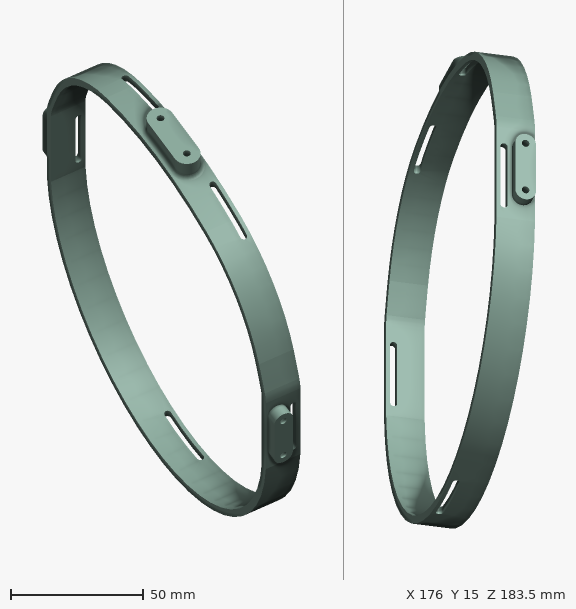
import cadquery as cq
import math

band_width = 15.0
wall = 3.1
bottom_radius = 83.3
flat_x = 83.2
crown_z = 176.4
crown_radius = 137.7
crown_angle = 0.28
shoulder_radius = 60.5
shoulder_angle = 1.21
flank_radius = 257.0
corner_radius = 16.5

pin_hole_diameter = 3.0
pin_hole_spacing = 20.0
overall_width = 176.0
overall_height = 183.5
side_boss_width = 8.0
side_boss_y = -2.5
side_boss_z = 98.2
top_boss_width = 10.5
top_boss_fillet = 1.7

slot_width = 2.8
slot_y = 4.5
side_slot_length = 27.5
side_slot_z = 96.0
top_slot_length = 25.9
top_slot_x = 33.4
bottom_slot_length = 27.5
cut_depth = 27.5


def polar(center, radius, angle):
    """Point on a circle, with the angle measured from +Z towards +X."""
    return (center[0] + radius * math.sin(angle), center[1] + radius * math.cos(angle))


def band_solid(inset):
    """Extruded outline of the band, moved inwards by the inset."""
    crown_center = (0, crown_z - crown_radius)
    shoulder_center = polar(crown_center, crown_radius - shoulder_radius, crown_angle)
    flank_center = polar(shoulder_center, shoulder_radius - flank_radius, shoulder_angle)
    corner_x = flat_x - corner_radius
    center_gap = flank_radius - corner_radius
    corner_rise = math.sqrt(center_gap**2 - (corner_x - flank_center[0]) ** 2)
    corner_center = (corner_x, flank_center[1] + corner_rise)
    corner_angle = math.acos(corner_rise / center_gap)

    arcs = [
        (crown_center, crown_radius, 0, crown_angle),
        (shoulder_center, shoulder_radius, crown_angle, shoulder_angle),
        (flank_center, flank_radius, shoulder_angle, corner_angle),
        (corner_center, corner_radius, corner_angle, math.pi / 2),
    ]
    outline = cq.Workplane("XZ").moveTo(0, crown_z - inset)
    for center, radius, start, end in arcs:
        middle = polar(center, radius - inset, (start + end) / 2)
        outline = outline.threePointArc(middle, polar(center, radius - inset, end))

    bottom_arc_radius = bottom_radius - inset
    wall_x = flat_x - inset
    wall_drop = math.sqrt(bottom_arc_radius**2 - wall_x**2)
    outline = outline.lineTo(wall_x, bottom_radius - wall_drop)
    lower_right = 0.75 * math.pi
    bottom_middle = polar((0, bottom_radius), bottom_arc_radius, lower_right)
    outline = outline.threePointArc(bottom_middle, (0, inset)).close()
    half = outline.extrude(band_width / 2, both=True)
    return half.union(half.mirror("YZ"))


def side_face(side, y, z):
    """Outward-facing workplane at the end of a side boss, with its local X along Z."""
    origin = (side * overall_width / 2, y, z)
    return cq.Workplane(cq.Plane(origin=origin, xDir=(0, 0, 1), normal=(side, 0, 0)))


def pin_holes(workplane, depth):
    """Pair of holes cut inwards from the end face of a boss."""
    ends = [(-pin_hole_spacing / 2, 0), (pin_hole_spacing / 2, 0)]
    return workplane.pushPoints(ends).circle(pin_hole_diameter / 2).extrude(-depth)


outer = band_solid(0)
inner = band_solid(wall)

top_face = cq.Workplane("XY", origin=(0, 0, overall_height))
top_boss_length = pin_hole_spacing + top_boss_width
top_boss_depth = overall_height - crown_z + wall
top_boss = top_face.slot2D(top_boss_length, top_boss_width).extrude(-top_boss_depth)
foot_half_width = top_boss_width / 2 + top_boss_fillet
foot_box = cq.selectors.BoxSelector(
    (-top_boss_length, -foot_half_width, crown_z - wall),
    (top_boss_length, foot_half_width, crown_z + wall),
)
body = outer.union(top_boss).edges(foot_box).fillet(top_boss_fillet)
body = body.cut(inner)
body = body.cut(pin_holes(top_face, overall_height - crown_z))

side_boss_height = overall_width / 2 - flat_x
side_boss_length = pin_hole_spacing + side_boss_width
for side in (-1, 1):
    boss_face = side_face(side, side_boss_y, side_boss_z)
    boss = boss_face.slot2D(side_boss_length, side_boss_width).extrude(-side_boss_height - wall / 2)
    body = body.union(boss).cut(pin_holes(boss_face, side_boss_height))
    slot_face = side_face(side, slot_y, side_slot_z)
    body = body.cut(slot_face.slot2D(side_slot_length, slot_width).extrude(-cut_depth))

top_slots = top_face.pushPoints([(-top_slot_x, slot_y), (top_slot_x, slot_y)])
body = body.cut(top_slots.slot2D(top_slot_length, slot_width).extrude(-cut_depth))

bottom_slot = cq.Workplane("XY", origin=(0, slot_y, 0)).slot2D(bottom_slot_length, slot_width)
result = body.cut(bottom_slot.extrude(cut_depth))